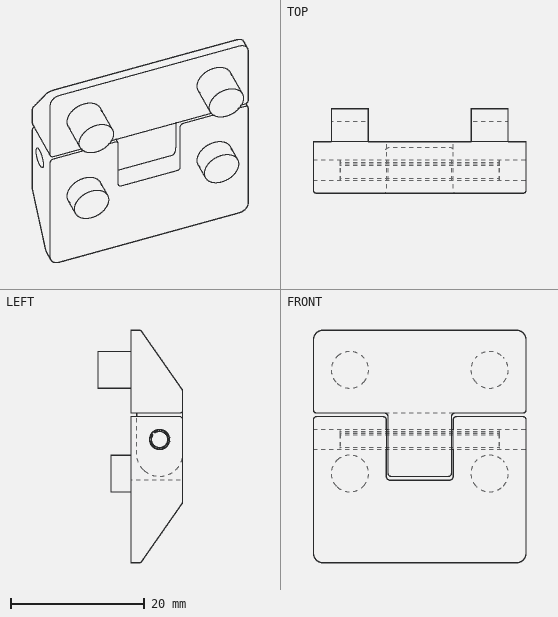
import cadquery as cq


tolerance = 0.0005

width = 32.0
height = 35.0
depth = 7.77
front_y = -depth
top_z = height / 2
bottom_z = -height / 2
corner_radius = 1.5
edge_round = 0.5
inner_corner_radius = 0.52
bevel_height = 9.03
rim_depth = 1.47

upper_leaf_height = 12.5
leaf_gap = 0.5
slot_width = 10.0
slot_clearance = 0.52
knuckle_width = 9.55
knuckle_radius = 3.45
knuckle_length = 9.52

joint_z = top_z - upper_leaf_height
lower_top_z = joint_z - leaf_gap
knuckle_bottom_z = joint_z - knuckle_length
slot_bottom_z = knuckle_bottom_z - slot_clearance

pin_diameter = 3.05
pin_bore = 2.4
pin_chamfer = 0.1
pin_length = 24.0
pin_slit = 0.4
pin_slit_angle = 45.0
pin_y = front_y + knuckle_radius
pin_depth_below_top = 16.45
pin_z = top_z - pin_depth_below_top

post_diameter = 5.55
post_spacing = 21.0
upper_post_length = 4.97
lower_post_length = 3.0
upper_post_inset = 6.0
lower_post_inset = 13.45
upper_post_z = top_z - upper_post_inset
lower_post_z = bottom_z + lower_post_inset


def cylinder_along_x(diameter, length):
    """Cylinder centred on the pin axis."""
    return (
        cq.Workplane("YZ", origin=(-length / 2, pin_y, pin_z))
        .circle(diameter / 2)
        .extrude(length)
    )


def extrude_outline(points):
    """Plate with an XZ outline, from the mounting face to the front face."""
    return cq.Workplane("XZ").polyline(points).close().extrude(depth)


def extrude_profile(profile):
    """Bar with a YZ profile across the whole width."""
    return profile.close().extrude(width / 2, both=True)


def round_corners(plate, corner_points, radius):
    """Round the edges along Y that pass through the given XZ points."""
    for x, z in corner_points:
        edge = plate.edges(cq.selectors.NearestToPointSelector((x, -depth / 2, z)))
        plate = edge.fillet(radius)
    return plate


def round_front_edges(leaf, smooth_levels=()):
    """Round every edge off the mounting face, except those along Y.

    Edges along X at the given smooth levels are left as they are.
    """

    def is_rounded(edge):
        center = edge.Center()
        on_mounting_face = abs(center.y) < tolerance
        on_middle = abs(center.x) < tolerance
        is_smooth = on_middle and any(abs(center.z - z) < tolerance for z in smooth_levels)
        return not on_mounting_face and not is_smooth

    return leaf.newObject(leaf.edges("not |Y").filter(is_rounded).vals()).fillet(edge_round)


def mirrored(x, z):
    return [(-x, z), (x, z)]


def posts(post_z, length):
    """Pair of round posts standing on the mounting face."""
    return (
        cq.Workplane("XZ")
        .pushPoints(mirrored(post_spacing / 2, post_z))
        .circle(post_diameter / 2)
        .extrude(-length)
    )


def make_upper_leaf():
    half, knuckle_half = width / 2, knuckle_width / 2
    plate = extrude_outline([
        (-half, top_z),
        (half, top_z),
        (half, joint_z),
        (knuckle_half, joint_z),
        (knuckle_half, knuckle_bottom_z),
        (-knuckle_half, knuckle_bottom_z),
        (-knuckle_half, joint_z),
        (-half, joint_z),
    ])
    plate = round_corners(plate, mirrored(half, top_z), corner_radius)
    plate = round_corners(plate, mirrored(half, joint_z), inner_corner_radius)
    plate = round_corners(plate, mirrored(knuckle_half, joint_z), inner_corner_radius)

    arc_z = knuckle_bottom_z + knuckle_radius
    knuckle_back_y = front_y + 2 * knuckle_radius
    recess_z = joint_z + 3 * edge_round
    side = extrude_profile(
        cq.Workplane("YZ")
        .moveTo(0, recess_z)
        .lineTo(0, top_z)
        .lineTo(-rim_depth, top_z)
        .lineTo(front_y, top_z - bevel_height)
        .lineTo(front_y, arc_z)
        .threePointArc((pin_y, knuckle_bottom_z), (knuckle_back_y, arc_z))
        .lineTo(knuckle_back_y, recess_z)
    )
    leaf = round_front_edges(plate.intersect(side), smooth_levels=(arc_z, recess_z))

    filler_front_y = knuckle_back_y - 2 * edge_round
    filler_zone = (
        cq.Workplane("XY", origin=(0, filler_front_y / 2, joint_z))
        .rect(width, -filler_front_y)
        .extrude(recess_z - joint_z)
    )
    leaf = leaf.union(plate.intersect(filler_zone))
    leaf = leaf.union(posts(upper_post_z, upper_post_length))
    return leaf.cut(cylinder_along_x(pin_diameter, width))


def make_lower_leaf():
    half, slot_half = width / 2, slot_width / 2
    plate = extrude_outline([
        (-half, lower_top_z),
        (-slot_half, lower_top_z),
        (-slot_half, slot_bottom_z),
        (slot_half, slot_bottom_z),
        (slot_half, lower_top_z),
        (half, lower_top_z),
        (half, bottom_z),
        (-half, bottom_z),
    ])
    plate = round_corners(plate, mirrored(half, bottom_z), corner_radius)
    plate = round_corners(plate, mirrored(half, lower_top_z), inner_corner_radius)
    plate = round_corners(plate, mirrored(slot_half, lower_top_z), inner_corner_radius)
    plate = round_corners(plate, mirrored(slot_half, slot_bottom_z), inner_corner_radius)
    side = extrude_profile(
        cq.Workplane("YZ")
        .moveTo(0, lower_top_z)
        .lineTo(front_y, lower_top_z)
        .lineTo(front_y, bottom_z + bevel_height)
        .lineTo(-rim_depth, bottom_z)
        .lineTo(0, bottom_z)
    )
    leaf = round_front_edges(plate.intersect(side))
    leaf = leaf.union(posts(lower_post_z, lower_post_length))
    return leaf.cut(cylinder_along_x(pin_diameter, width))


def make_pin():
    """Spring pin: a tube slit along its whole length."""
    rod = cylinder_along_x(pin_diameter, pin_length).edges().chamfer(pin_chamfer)
    tube = rod.cut(cylinder_along_x(pin_bore, pin_length))
    slit = (
        cq.Workplane("XY")
        .box(pin_length, pin_diameter, pin_slit, centered=(True, False, True))
        .rotate((0, 0, 0), (1, 0, 0), pin_slit_angle)
        .translate((0, pin_y, pin_z))
    )
    return tube.cut(slit)


upper_leaf = make_upper_leaf()
lower_leaf = make_lower_leaf()
pin = make_pin()
result = cq.Compound.makeCompound([upper_leaf.solids().val(), lower_leaf.solids().val(), pin.solids().val()])